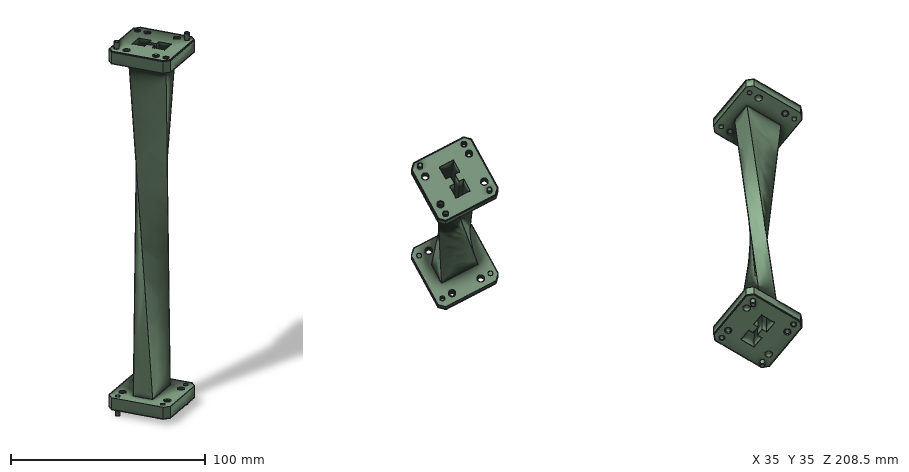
import cadquery as cq

total_length = 208.5
pin_length = 4.0
face_z = total_length / 2 - pin_length

flange_side = 35.0
flange_thickness = 6.9
corner_chamfer = 3.0
face_edge_chamfer = 0.5
twist_half_length = face_z - flange_thickness

bore_width = 18.4
bore_height = 8.1
ridge_width = 4.4
ridge_gap = 2.5
wall = 1.5
tube_width = bore_width + 2 * wall
tube_height = bore_height + 2 * wall

hole_row_y = 12.7
screw_x = 8.3
dowel_x = 14.0
clearance_diameter = 3.8
tapped_diameter = 2.7
tapped_countersink = 0.52
dowel_diameter = 2.5
dowel_countersink = 0.31
pin_chamfer = 0.2
pin_recess = 0.1


def rectangle_corners(width, height):
    x, y = width / 2, height / 2
    return [(-x, -y), (x, -y), (x, y), (-x, y)]


def bore_corners():
    """H-shaped section: a rectangle with a ridge standing in from each long side."""
    x, y = bore_width / 2, bore_height / 2
    ridge_x, gap_y = ridge_width / 2, ridge_gap / 2
    lower = [(-x, -y), (-ridge_x, -y), (-ridge_x, -gap_y), (ridge_x, -gap_y), (ridge_x, -y), (x, -y)]
    upper = [(-px, -py) for px, py in lower]
    return lower + upper


def quarter_turn(points):
    return [(-y, x) for x, y in points]


def twisted_prism(points):
    """Straight-line blend from the section at the top to the same section turned 90 degrees below."""
    top = [cq.Vector(x, y, twist_half_length) for x, y in points]
    bottom = [cq.Vector(x, y, -twist_half_length) for x, y in quarter_turn(points)]
    faces = [cq.Face.makeFromWires(cq.Wire.makePolygon(ring, close=True)) for ring in (top, bottom)]
    for i in range(len(points)):
        top_edge = cq.Edge.makeLine(top[i - 1], top[i])
        bottom_edge = cq.Edge.makeLine(bottom[i - 1], bottom[i])
        faces.append(cq.Face.makeRuledSurface(top_edge, bottom_edge))
    return cq.Workplane(cq.Solid.makeSolid(cq.Shell.makeShell(faces)))


def through_hole(x, y, diameter):
    return cq.Workplane(origin=(x, y, 0)).circle(diameter / 2).extrude(flange_thickness)


def top_countersink(x, y, hole_diameter, depth):
    """Cutter for a 45 degree mouth in the mating face: a cone pointing down the hole."""
    radius = hole_diameter / 2 + depth
    cone = cq.Solid.makeCone(radius, 0, radius, cq.Vector(x, y, flange_thickness), cq.Vector(0, 0, -1))
    return cq.Workplane(cone)


def bottom_countersink(x, y, hole_diameter, depth):
    """Cutter for a 45 degree mouth in the back face: a cone pointing up the hole."""
    radius = hole_diameter / 2 + depth
    cone = cq.Solid.makeCone(radius, 0, radius, cq.Vector(x, y, 0), cq.Vector(0, 0, 1))
    return cq.Workplane(cone)


def pin(x, y):
    """Dowel pin with a chamfered tip, its foot slightly recessed from the back of the flange."""
    height = flange_thickness + pin_length - pin_recess
    blank = cq.Workplane(origin=(x, y, pin_recess)).circle(dowel_diameter / 2).extrude(height)
    return blank.faces(">Z").chamfer(pin_chamfer)


def flange():
    """Flange in the top orientation, standing on Z = 0 with its mating face and pins upward."""
    body = cq.Workplane().rect(flange_side, flange_side).extrude(flange_thickness)
    body = body.edges("|Z").chamfer(corner_chamfer)
    body = body.faces(">Z").edges().chamfer(face_edge_chamfer)
    body = body.cut(cq.Workplane().polyline(bore_corners()).close().extrude(flange_thickness))
    for side in (-1, 1):
        y = side * hole_row_y
        body = body.cut(through_hole(side * screw_x, y, clearance_diameter))
        body = body.cut(through_hole(-side * screw_x, y, tapped_diameter))
        body = body.cut(top_countersink(-side * screw_x, y, tapped_diameter, tapped_countersink))
        body = body.cut(bottom_countersink(-side * screw_x, y, tapped_diameter, tapped_countersink))
        body = body.cut(through_hole(-side * dowel_x, y, dowel_diameter))
        body = body.cut(top_countersink(-side * dowel_x, y, dowel_diameter, dowel_countersink))
        body = body.cut(through_hole(side * dowel_x, y, dowel_diameter))
        body = body.union(pin(side * dowel_x, y))
    return body


top_flange = flange().translate((0, 0, twist_half_length))

bottom_flange = flange().rotate((0, 0, 0), (1, 1, 0), 180)
bottom_flange = bottom_flange.translate((0, 0, -twist_half_length))

tube = twisted_prism(rectangle_corners(tube_width, tube_height)).cut(twisted_prism(bore_corners()))

result = tube.union(top_flange).union(bottom_flange).solids()